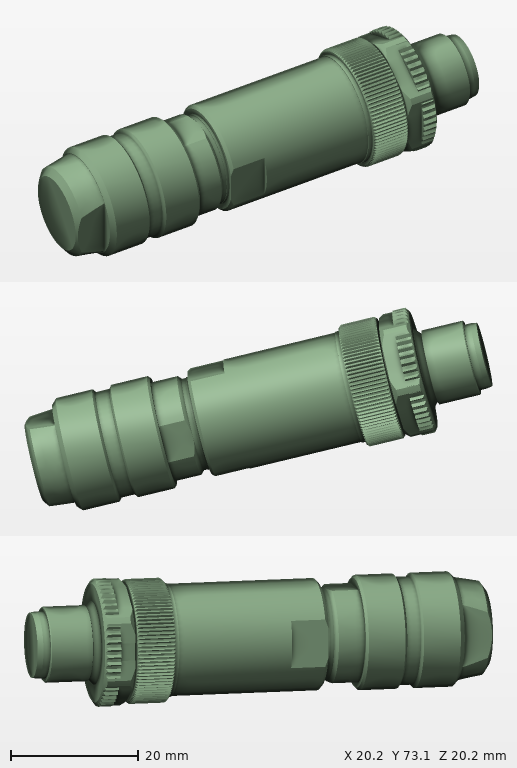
import math

import cadquery as cq


LENGTH = 73.1

PLUG_TIP_DIA = 10.3
PLUG_NOSE_DIA = 10.6
PLUG_DIA = 12.0
PLUG_NOSE_START = 0.9
PLUG_START = 2.0
PLUG_END = 8.9
PLUG_CHAMFER = 0.15
FLARE_SMALL_DIA = 11.0
FLARE_LARGE_DIA = 13.2

NUT_DIA = 20.2
NUT_START = 9.95
NUT_TEETH_END = 12.5
NUT_END = 14.9
NUT_TOOTH_COUNT = 52
NUT_TOOTH_DEPTH = 0.45
NUT_FRONT_CHAMFER = (0.5, 0.7)
HEX_ACROSS_FLATS = 18.0
HEX_REAR_CHAMFER = (0.7, 0.7)
MARK_WIDTH = 2.8
MARK_DEPTH = 0.1

SPACER_DIA = 14.8
RING_DIA = 19.7
RING_START = 15.2
RING_END = 21.3
RING_TOOTH_COUNT = 100
RING_TOOTH_DEPTH = 0.35
RING_CHAMFER = (0.35, 0.35)

COLLAR_DIA = 18.0
COLLAR_END = 22.0
BODY_DIA = 17.7
BODY_END = 46.2
BODY_CHAMFER = 0.5
BODY_FLATS_START = 40.2
BODY_ACROSS_FLATS = 16.0

TOOTH_ROOT_FRACTION = 0.6

SHOULDER_DIA = 15.0
SHOULDER_END = 46.6
GROOVE_DIA = 14.8
NECK_DIA = 16.0
NECK_ACROSS_FLATS = 14.8
NECK_CHAMFER_START = 47.3
NECK_START = 47.9

GLAND_DIA = 18.2
GLAND_GROOVE_DIA = 17.1
GLAND_START = 52.1
GLAND_GROOVE_START = 58.8
GLAND_GROOVE_END = 61.0
GLAND_END = 68.1
GLAND_CHAMFER = 0.4
GLAND_REAR_CHAMFER = 0.8

TAIL_BASE_DIA = 16.4
TAIL_DIA = 14.9
TAIL_END_DIA = 12.4
TAIL_CHAMFER_START = 72.2
TAIL_ACROSS_FLATS = 13.0


def turned(profile):
    """Solid of revolution about Y from (diameter, station) points; both ends reach the axis."""
    points = [(dia / 2, -station) for dia, station in profile]
    axis_ends = [(0, points[-1][1]), (0, points[0][1])]
    return cq.Workplane("XY").polyline(points + axis_ends).close().revolve(360, (0, 0), (0, 1))


def cross_section(station):
    """Workplane across the axis; extruding from it runs towards the cable end."""
    return cq.Workplane("XZ", origin=(0, -station, 0))


def toothed_disc(dia, tooth_depth, tooth_count, start, end):
    """Disc with V teeth along the axis; a gap, not a tooth, points along +X."""
    pitch = 2 * math.pi / tooth_count
    half_root = pitch * TOOTH_ROOT_FRACTION / 2
    tip_radius = dia / 2
    root_radius = tip_radius - tooth_depth
    points = []
    for i in range(tooth_count):
        tip_angle = (i + 0.5) * pitch
        tooth = [
            (root_radius, tip_angle - half_root),
            (tip_radius, tip_angle),
            (root_radius, tip_angle + half_root),
        ]
        points += [(radius * math.cos(angle), radius * math.sin(angle)) for radius, angle in tooth]
    return cross_section(start).polyline(points).close().extrude(end - start)


def flat_cutters(across_flats, start, end, direction):
    """Pair of blocks that leave two parallel flats facing +/- direction ("X" or "Z")."""
    block = NUT_DIA
    offset = (across_flats + block) / 2
    centres = [(offset, 0), (-offset, 0)] if direction == "X" else [(0, offset), (0, -offset)]
    return cross_section(start).pushPoints(centres).rect(block, block).extrude(end - start)


def plug():
    return turned([
        (PLUG_TIP_DIA, 0),
        (PLUG_NOSE_DIA, PLUG_NOSE_START),
        (PLUG_NOSE_DIA, PLUG_START),
        (PLUG_DIA - 2 * PLUG_CHAMFER, PLUG_START),
        (PLUG_DIA, PLUG_START + PLUG_CHAMFER),
        (PLUG_DIA, PLUG_END - PLUG_CHAMFER),
        (FLARE_SMALL_DIA, PLUG_END),
        (FLARE_LARGE_DIA, NUT_START),
    ])


def coupling_nut():
    teeth = toothed_disc(NUT_DIA, NUT_TOOTH_DEPTH, NUT_TOOTH_COUNT, NUT_START, NUT_TEETH_END)
    corner_dia = HEX_ACROSS_FLATS / math.cos(math.pi / 6)
    hexagon = (
        cross_section(NUT_START)
        .transformed(rotate=(0, 0, 90))
        .polygon(6, corner_dia)
        .extrude(NUT_END - NUT_START)
    )
    front_length, front_depth = NUT_FRONT_CHAMFER
    rear_length, rear_depth = HEX_REAR_CHAMFER
    envelope = turned([
        (NUT_DIA - 2 * front_depth, NUT_START),
        (NUT_DIA, NUT_START + front_length),
        (NUT_DIA, NUT_END - rear_length),
        (NUT_DIA - 2 * rear_depth, NUT_END),
    ])
    mark = (
        cross_section(NUT_TEETH_END)
        .center(-HEX_ACROSS_FLATS / 2, 0)
        .rect(2 * MARK_DEPTH, MARK_WIDTH)
        .extrude(NUT_END - NUT_TEETH_END)
    )
    return teeth.union(hexagon).intersect(envelope).cut(mark)


def knurled_ring():
    teeth = toothed_disc(RING_DIA, RING_TOOTH_DEPTH, RING_TOOTH_COUNT, RING_START, RING_END)
    chamfer_length, chamfer_depth = RING_CHAMFER
    envelope = turned([
        (RING_DIA - 2 * chamfer_depth, RING_START),
        (RING_DIA, RING_START + chamfer_length),
        (RING_DIA, RING_END - chamfer_length),
        (RING_DIA - 2 * chamfer_depth, RING_END),
    ])
    return teeth.intersect(envelope)


def body():
    spacer = turned([(SPACER_DIA, NUT_END), (SPACER_DIA, RING_START)])
    sleeve = turned([
        (COLLAR_DIA, RING_END),
        (COLLAR_DIA, COLLAR_END),
        (BODY_DIA, COLLAR_END),
        (BODY_DIA, BODY_END - BODY_CHAMFER),
        (BODY_DIA - 2 * BODY_CHAMFER, BODY_END),
    ])
    flats = flat_cutters(BODY_ACROSS_FLATS, BODY_FLATS_START, BODY_END, "X")
    return spacer.union(sleeve.cut(flats))


def neck():
    shape = turned([
        (SHOULDER_DIA, BODY_END),
        (SHOULDER_DIA, SHOULDER_END),
        (GROOVE_DIA, SHOULDER_END),
        (GROOVE_DIA, NECK_CHAMFER_START),
        (NECK_DIA, NECK_START),
        (NECK_DIA, GLAND_START),
    ])
    return shape.cut(flat_cutters(NECK_ACROSS_FLATS, NECK_CHAMFER_START, GLAND_START, "Z"))


def gland():
    return turned([
        (GLAND_DIA - 2 * GLAND_CHAMFER, GLAND_START),
        (GLAND_DIA, GLAND_START + GLAND_CHAMFER),
        (GLAND_DIA, GLAND_GROOVE_START - GLAND_CHAMFER),
        (GLAND_GROOVE_DIA, GLAND_GROOVE_START),
        (GLAND_GROOVE_DIA, GLAND_GROOVE_END),
        (GLAND_DIA, GLAND_GROOVE_END + GLAND_CHAMFER),
        (GLAND_DIA, GLAND_END - GLAND_REAR_CHAMFER),
        (GLAND_DIA - 2 * GLAND_REAR_CHAMFER, GLAND_END),
    ])


def cable_end():
    cone = turned([
        (TAIL_BASE_DIA, GLAND_END),
        (TAIL_DIA, TAIL_CHAMFER_START),
        (TAIL_END_DIA, LENGTH),
    ])
    return cone.cut(flat_cutters(TAIL_ACROSS_FLATS, GLAND_END, LENGTH, "X"))


result = plug()
for section in (coupling_nut(), knurled_ring(), body(), neck(), gland(), cable_end()):
    result = result.union(section)